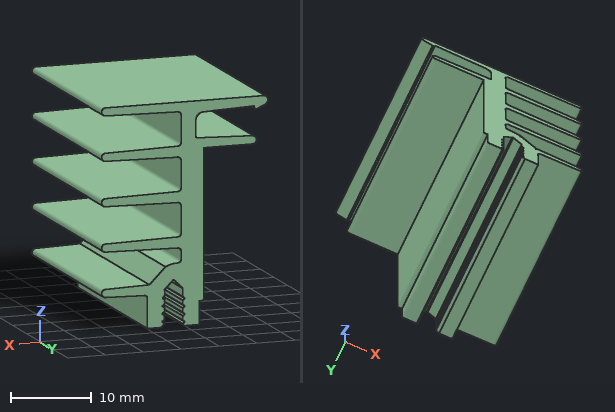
import cadquery as cq

width = 22.0
length = 25.4
height = 28.5

web_right = 11.49
web_left = 8.5
neck_left = 9.55

fin_count = 5
fin_tip_radius = 0.5
fin_root_half = 0.7
fin_fillet = 0.48
top_fin_z = height - fin_tip_radius
bottom_fin_z = 4.9
fin_pitch = (top_fin_z - bottom_fin_z) / (fin_count - 1)

flange_tip_radius = 0.5
flange_tip_thickness = 1.25
flange_root_thickness = 1.5
lip_start_x = 0.35
lip_start_depth = 1.15
lip_left_x = 1.5
lip_right_x = 1.75
lip_depth = 1.65
lip_end_x = 1.85
flange_fillet = 1.0
shelf_left = 1.5
shelf_bottom = 22.43
shelf_tip_thickness = 1.08
shelf_root_thickness = 1.37
shelf_fillet = 0.23

foot_left = 9.05
foot_right = 15.95
foot_step_z = 3.02
foot_corner = 0.23
foot_fillet = 0.37
shoulder_z = 8.07
shoulder_arc_start_x = 12.05
slope_start_x = 13.57
slope_start_z = 7.7
slot_center_x = 12.48
slot_width = 2.42
slot_wall_top = 4.8
slot_peak_half_width = 0.09
right_mouth_chamfer = 0.45
left_mouth_chamfer = 0.2

groove_count = 4
groove_pitch = 1.0
groove_depth = 0.25
groove_half_height = 0.23
left_groove_z = 0.5
right_groove_z = left_groove_z + groove_pitch / 4

tolerance = 0.003


def extrude(outline):
    """Close an XZ outline and extrude it over the full length."""
    return outline.close().extrude(length / 2, both=True)


def polygon(points):
    return extrude(cq.Workplane("XZ").polyline(points))


def box(left, right, bottom, top):
    return polygon([(left, bottom), (right, bottom), (right, top), (left, top)])


def fin(root_x, top_half, center_z):
    """Fin from root_x to the +X side, tapering to a round tip; top_half is its root half above center."""
    tip_x = width - fin_tip_radius
    return extrude(
        cq.Workplane("XZ")
        .moveTo(root_x, center_z - fin_root_half)
        .lineTo(tip_x, center_z - fin_tip_radius)
        .threePointArc((width, center_z), (tip_x, center_z + fin_tip_radius))
        .lineTo(root_x, center_z + top_half)
    )


def flange():
    """Top flange with a rounded free edge and a small hooked lip beneath it."""
    tip_top = (flange_tip_radius, height)
    tip_side = (0, height - flange_tip_radius)
    return extrude(
        cq.Workplane("XZ")
        .moveTo(web_right, height)
        .lineTo(*tip_top)
        .radiusArc(tip_side, -flange_tip_radius)
        .tangentArcPoint((lip_start_x, height - lip_start_depth), relative=False)
        .lineTo(lip_left_x, height - lip_depth)
        .lineTo(lip_right_x, height - lip_depth)
        .lineTo(lip_end_x, height - flange_tip_thickness)
        .lineTo(neck_left, height - flange_root_thickness)
        .lineTo(web_right, height - flange_root_thickness)
    )


def shelf():
    """Shelf with a flat underside, a sloping top and a round tip."""
    tip_radius = shelf_tip_thickness / 2
    tip_x = shelf_left + tip_radius
    return extrude(
        cq.Workplane("XZ")
        .moveTo(web_right, shelf_bottom)
        .lineTo(tip_x, shelf_bottom)
        .threePointArc((shelf_left, shelf_bottom + tip_radius), (tip_x, shelf_bottom + shelf_tip_thickness))
        .lineTo(neck_left, shelf_bottom + shelf_root_thickness)
        .lineTo(web_right, shelf_bottom + shelf_root_thickness)
    )


def foot():
    """Foot block whose level shoulder bends down through an arc to a 45 degree slope."""
    slope_end_z = slope_start_z - (foot_right - slope_start_x)
    return extrude(
        cq.Workplane("XZ")
        .moveTo(foot_left, 0)
        .lineTo(foot_left, shoulder_z)
        .lineTo(shoulder_arc_start_x, shoulder_z)
        .tangentArcPoint((slope_start_x, slope_start_z), relative=False)
        .lineTo(foot_right, slope_end_z)
        .lineTo(foot_right, 0)
    )


def groove(wall_x, center_z, direction):
    """V-groove cut into a slot wall; direction is -1 for -X and 1 for +X."""
    return polygon([
        (wall_x, center_z - groove_half_height),
        (wall_x + direction * groove_depth, center_z),
        (wall_x, center_z + groove_half_height),
        (slot_center_x, center_z),
    ])


def slot():
    """Slot with a 45 degree roof, a chamfered mouth and grooved walls."""
    left = slot_center_x - slot_width / 2
    right = slot_center_x + slot_width / 2
    peak_z = slot_wall_top + slot_width / 2 - slot_peak_half_width
    cutter = polygon([
        (left - left_mouth_chamfer, 0),
        (right + right_mouth_chamfer, 0),
        (right, right_mouth_chamfer),
        (right, slot_wall_top),
        (slot_center_x + slot_peak_half_width, peak_z),
        (slot_center_x - slot_peak_half_width, peak_z),
        (left, slot_wall_top),
        (left, left_mouth_chamfer),
    ])
    for i in range(groove_count):
        rise = i * groove_pitch
        cutter = cutter.union(groove(left, left_groove_z + rise, -1))
        cutter = cutter.union(groove(right, right_groove_z + rise, 1))
    return cutter


def fillet_edges(body, radius, x, z_min, z_max):
    """Round the lengthwise edges at the given X within a Z range."""
    edges = body.edges("|Y").filter(
        lambda e: abs(e.Center().x - x) < tolerance and z_min < e.Center().z < z_max
    )
    return edges.fillet(radius)


body = box(web_left, web_right, foot_step_z, shelf_bottom)
body = body.union(box(neck_left, web_right, shelf_bottom, height))
body = body.union(flange()).union(shelf()).union(foot())

body = body.union(fin(web_right, fin_tip_radius, top_fin_z))
for i in range(1, fin_count - 1):
    body = body.union(fin(web_right, fin_root_half, top_fin_z - i * fin_pitch))
bottom_fin_root = slot_center_x + slot_width / 2 + right_mouth_chamfer
body = body.union(fin(bottom_fin_root, fin_root_half, bottom_fin_z))

body = fillet_edges(body, fin_fillet, web_right, shoulder_z - tolerance, height - tolerance)
body = fillet_edges(body, foot_fillet, foot_right, foot_step_z, bottom_fin_z)
neck_middle_z = (shelf_bottom + height) / 2
body = fillet_edges(body, flange_fillet, neck_left, neck_middle_z, height - tolerance)
body = fillet_edges(body, shelf_fillet, neck_left, shelf_bottom, neck_middle_z)
body = fillet_edges(body, foot_corner, foot_left, -tolerance, tolerance)
body = fillet_edges(body, foot_corner, web_left, foot_step_z - tolerance, foot_step_z + tolerance)

result = body.cut(slot())